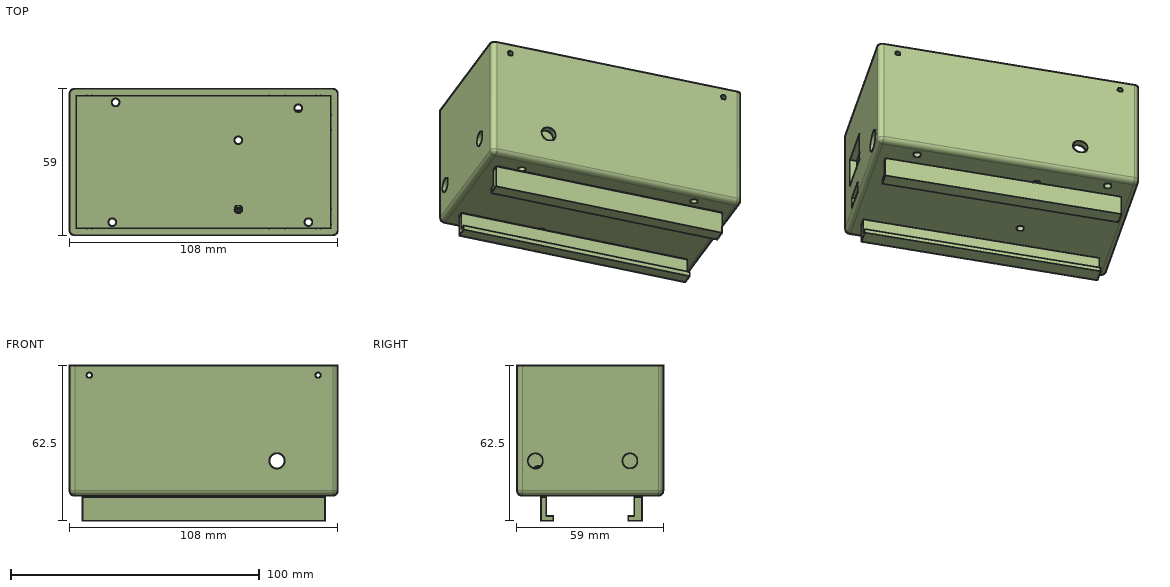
import cadquery as cq

length = 108
width = 59.0
total_height = 62.5
rail_height = 10.0
box_height = total_height - rail_height
wall = 2.8
floor_thickness = 2.5
edge_radius = 2.2

rail_length = 97.6
foot_thickness = 1.9
rail_embed = 0.2
rail_chamfer = 0.9
back_foot_tip = 15.2
front_foot_tip = 14.8
back_web_inner = 17.7
back_web_outer = 20.8
front_web_inner = 17.6
front_web_outer = 19.9

screw_diameter = 2.0
screw_spacing = 92.0
screw_drop = 4.0

cable_diameter = 6.0
cable_height = 14
side_cable_x = 29.5
end_cable_positions = (-22.0, 16.0)

window_y = 11.0
window_width = 16.2
window_bottom = 17.8
window_height = 14
slot_y = 11.0
slot_width = 9.7
slot_bottom = 2.9
slot_height = 5.3
inlet_diameter = 9.0
inlet_y = -20.0
inlet_height = 7.6

floor_hole_diameter = 3.0
floor_hole_points = [
    (-35.4, 24.0),
    (38.0, 21.6),
    (13.9, 8.7),
    (13.9, -19.0),
    (-36.7, -24.2),
    (42.1, -24.2),
]


def make_box():
    """Rounded shell, open at the top, with square inner corners."""
    body = cq.Workplane("XY").box(length, width, box_height, centered=(True, True, False))
    body = body.edges("|Z or <Z").fillet(edge_radius)
    cavity = (
        cq.Workplane("XY")
        .workplane(offset=floor_thickness)
        .rect(length - 2 * wall, width - 2 * wall)
        .extrude(box_height)
    )
    return body.cut(cavity)


def make_rail(side, web_inner, web_outer, foot_tip):
    """L-section rail with a chamfered top set into the floor; side is +1 at the back, -1 at the front."""
    foot_top = foot_thickness - rail_height
    profile = [
        (side * web_outer, rail_embed),
        (side * web_outer, -rail_height),
        (side * foot_tip, -rail_height),
        (side * foot_tip, foot_top),
        (side * web_inner, foot_top),
        (side * web_inner, rail_embed),
    ]
    rail = cq.Workplane("YZ").polyline(profile).close().extrude(rail_length / 2, both=True)
    return rail.faces(">Z").edges().chamfer(rail_chamfer)


def hole_along_y(x, z, diameter):
    """Cylinder passing through both long walls."""
    return cq.Workplane("XZ").center(x, z).circle(diameter / 2).extrude(width, both=True)


def hole_in_end(side, y, z, diameter):
    """Cylinder through one end wall; side is +1 at +X, -1 at -X."""
    return cq.Workplane("YZ").center(y, z).circle(diameter / 2).extrude(side * length)


def end_opening(y, bottom, opening_width, opening_height):
    """Rectangular cutter through the -X end wall."""
    return (
        cq.Workplane("YZ")
        .center(y, bottom + opening_height / 2)
        .rect(opening_width, opening_height)
        .extrude(-length)
    )


result = make_box()

for screw_x in (-screw_spacing / 2, screw_spacing / 2):
    result = result.cut(hole_along_y(screw_x, box_height - screw_drop, screw_diameter))

result = result.cut(hole_along_y(side_cable_x, cable_height, cable_diameter))
for end_cable_y in end_cable_positions:
    result = result.cut(hole_in_end(1, end_cable_y, cable_height, cable_diameter))
result = result.cut(hole_in_end(-1, inlet_y, inlet_height, inlet_diameter))
result = result.cut(end_opening(window_y, window_bottom, window_width, window_height))
result = result.cut(end_opening(slot_y, slot_bottom, slot_width, slot_height))

floor_holes = (
    cq.Workplane("XY")
    .pushPoints(floor_hole_points)
    .circle(floor_hole_diameter / 2)
    .extrude(box_height)
)
result = result.cut(floor_holes)

result = result.union(make_rail(1, back_web_inner, back_web_outer, back_foot_tip))
result = result.union(make_rail(-1, front_web_inner, front_web_outer, front_foot_tip))